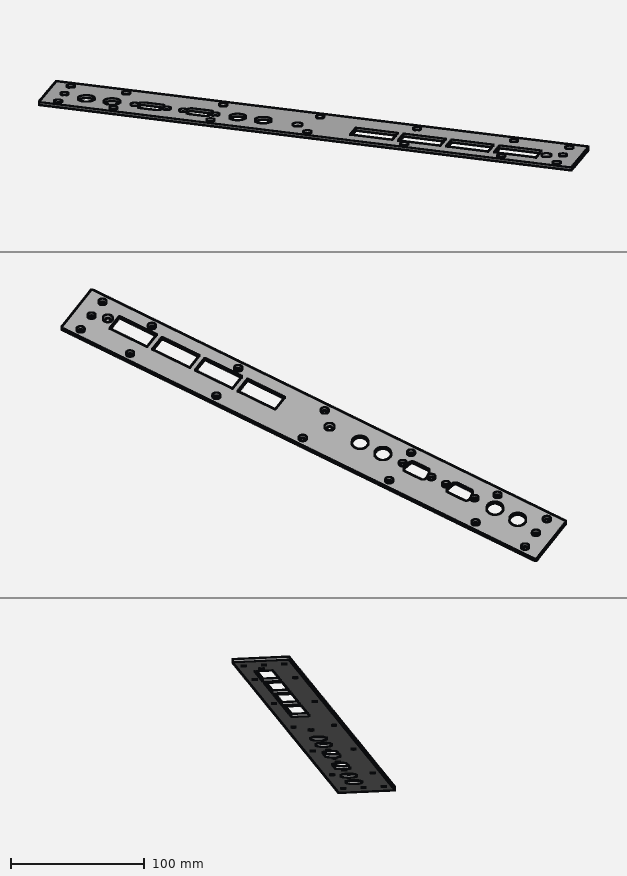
import cadquery as cq
import math

LENGTH = 419.0
WIDTH = 43.0
THICKNESS = 2.5
CORNER_RADIUS = 1.0

SCREW_HOLE = 3.2
SCREW_HEAD = 6.3
SCREW_PITCH = 76.3
SCREW_COLUMNS_EACH_SIDE = 2
END_SCREW_X = 196.0
SCREW_ROW_Y = 15.5

LARGE_SCREW_HOLE = 3.9
LARGE_SCREW_HEAD = 7.5
LARGE_SCREW_X = (-11.5, 184.5)
LARGE_SCREW_Y = -4.0
COUNTERSINK_ANGLE = 90.0

CONNECTOR_Y = -3.8
PORT_DIAMETER = 12.5
PORT_PITCH = 20.0
PORT_PAIR_X = (-167.5, -48.5)

DSUB_X = (-127.0, -89.0)
DSUB_WIDTH = 21.0
DSUB_HEIGHT = 11.5
DSUB_SIDE_ANGLE = 10.0
DSUB_CORNER_RADIUS = 3.0
DSUB_SCREW_HOLE = 3.23
DSUB_SCREW_SPACING = 25.0

WINDOW_COUNT = 4
WINDOW_LENGTH = 33.0
WINDOW_HEIGHT = 14.0
WINDOW_PITCH = 37.7
WINDOW_ROW_X = 105.0


def drill_countersunk(plate, points, hole, head):
    """Drill through holes with conical heads flush with the top face."""
    return (
        plate.faces(">Z").workplane(origin=(0, 0, THICKNESS))
        .pushPoints(points)
        .cskHole(hole, head, COUNTERSINK_ANGLE)
    )


def dsub_cutter(x):
    """D-shaped prism: a rounded trapezoid, narrower at the bottom."""
    half_top = DSUB_WIDTH / 2
    half_bottom = half_top - DSUB_HEIGHT * math.tan(math.radians(DSUB_SIDE_ANGLE))
    half_height = DSUB_HEIGHT / 2
    return (
        cq.Workplane("XY")
        .polyline([
            (-half_top, half_height),
            (half_top, half_height),
            (half_bottom, -half_height),
            (-half_bottom, -half_height),
        ])
        .close()
        .extrude(THICKNESS)
        .edges("|Z").fillet(DSUB_CORNER_RADIUS)
        .translate((x, CONNECTOR_Y, 0))
    )


result = (
    cq.Workplane("XY")
    .box(LENGTH, WIDTH, THICKNESS, centered=(True, True, False))
    .edges("|Z").fillet(CORNER_RADIUS)
)

columns = range(-SCREW_COLUMNS_EACH_SIDE, SCREW_COLUMNS_EACH_SIDE + 1)
row_x = [i * SCREW_PITCH for i in columns] + [-END_SCREW_X, END_SCREW_X]
edge_screws = [(x, y) for x in row_x for y in (-SCREW_ROW_Y, SCREW_ROW_Y)]
edge_screws += [(-END_SCREW_X, 0), (END_SCREW_X, 0)]
result = drill_countersunk(result, edge_screws, SCREW_HOLE, SCREW_HEAD)

large_screws = [(x, LARGE_SCREW_Y) for x in LARGE_SCREW_X]
result = drill_countersunk(result, large_screws, LARGE_SCREW_HOLE, LARGE_SCREW_HEAD)

dsub_screws = [
    (x + side * DSUB_SCREW_SPACING / 2, CONNECTOR_Y) for x in DSUB_X for side in (-1, 1)
]
result = drill_countersunk(result, dsub_screws, DSUB_SCREW_HOLE, SCREW_HEAD)
for x in DSUB_X:
    result = result.cut(dsub_cutter(x))

ports = [
    (x + side * PORT_PITCH / 2, CONNECTOR_Y) for x in PORT_PAIR_X for side in (-1, 1)
]
result = result.faces(">Z").workplane(origin=(0, 0, THICKNESS)).pushPoints(ports).hole(PORT_DIAMETER)

result = (
    result.faces(">Z").workplane(origin=(WINDOW_ROW_X, CONNECTOR_Y, THICKNESS))
    .rarray(WINDOW_PITCH, 4, WINDOW_COUNT, 1)
    .rect(WINDOW_LENGTH, WINDOW_HEIGHT)
    .cutThruAll()
)